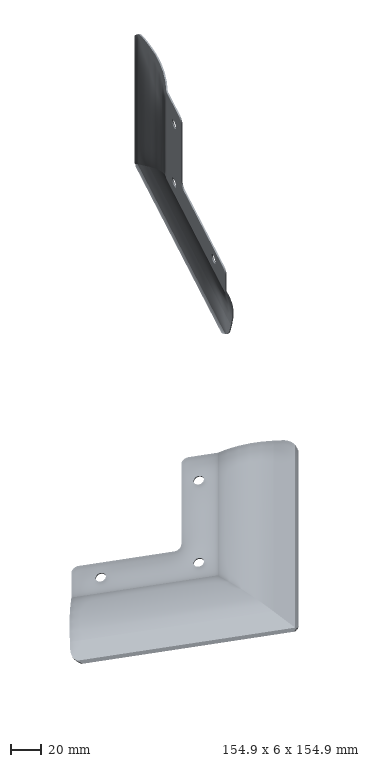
import cadquery as cq
import math

side = 155.0
depth = 6.0
sheet = 1.0
leg_width = 80.0

lip_start = 2.3
lip_angle = math.radians(44)
flat_end = 16.3
flange_start = 54.9
flange_bend_radius = 1.5
crown_radius = 72.5

end_radius = 10.0
flange_radius = 5.0
outer_radius = 4.6

hole_diameter = 7.0
hole_near = 68.0
hole_far = 135.0

crown_center_y = depth - crown_radius
crown_position = flange_start - math.sqrt((crown_radius - sheet) ** 2 - crown_center_y**2)

section_width = leg_width + flange_radius


def crown_point(radius, angle):
    """Point on a crown arc, with the angle taken from the crest toward the flange."""
    return (
        crown_position + radius * math.sin(angle),
        crown_center_y + radius * math.cos(angle),
    )


def section():
    """Closed sheet section: lip, sloping flat, arched crown and flange."""
    back_radius = crown_radius
    front_radius = crown_radius - sheet
    flat_angle = math.asin((flat_end - crown_position) / front_radius)
    slope = -math.tan(flat_angle)

    front_flat = crown_point(front_radius, flat_angle)
    back_flat = crown_point(back_radius, flat_angle)
    front_end_angle = math.acos(-crown_center_y / front_radius)
    back_end_angle = math.acos((sheet - crown_center_y) / back_radius)
    front_crest = crown_point(front_radius, 0)
    back_crest = crown_point(back_radius, 0)

    lip_front_y = front_flat[1] - slope * (flat_end - lip_start)
    lip_tip = lip_start - lip_front_y / math.tan(lip_angle)
    lip_back = (lip_tip - sheet * math.sin(lip_angle), sheet * math.cos(lip_angle))
    lip_rise = back_flat[1] - lip_back[1] - slope * (back_flat[0] - lip_back[0])
    lip_run = lip_rise / (math.tan(lip_angle) - slope)
    bend_back = (lip_back[0] + lip_run, lip_back[1] + lip_run * math.tan(lip_angle))

    return (
        cq.Workplane("XY")
        .moveTo(lip_tip, 0)
        .lineTo(lip_start, lip_front_y)
        .lineTo(*front_flat)
        .threePointArc(front_crest, crown_point(front_radius, front_end_angle))
        .lineTo(section_width, 0)
        .lineTo(section_width, sheet)
        .lineTo(*crown_point(back_radius, back_end_angle))
        .threePointArc(back_crest, back_flat)
        .lineTo(*bend_back)
        .lineTo(*lip_back)
        .close()
    )


def prism(points):
    """Prism through the full depth, from (X, Z) outline points."""
    return cq.Workplane("XZ").polyline(points).close().extrude(-depth)


def legs():
    """Two identical legs mitred together along the X = Z diagonal."""
    upright = section().extrude(side)
    flange_bend = cq.selectors.NearestToPointSelector((flange_start, 0, side / 2))
    upright = upright.edges("|Z").edges(flange_bend).fillet(flange_bend_radius)
    upright = upright.intersect(prism([(0, 0), (side, side), (0, side)]))
    level = upright.rotate((0, 0, 0), (0, 1, 0), 90).mirror("XY")
    return upright.union(level)


def outline():
    """L-shaped envelope with rounded corners."""
    blank = prism([
        (0, 0), (side, 0), (side, leg_width),
        (leg_width, leg_width), (leg_width, side), (0, side),
    ])

    def round_corners(body, corners, radius):
        for x, z in corners:
            corner = cq.selectors.NearestToPointSelector((x, depth / 2, z))
            body = body.edges("|Y").edges(corner).fillet(radius)
        return body

    blank = round_corners(blank, [(0, 0)], outer_radius)
    blank = round_corners(blank, [(0, side), (side, 0)], end_radius)
    flange_corners = [(leg_width, side), (leg_width, leg_width), (side, leg_width)]
    return round_corners(blank, flange_corners, flange_radius)


def holes():
    """Through holes at the corner and near the end of each leg."""
    centers = [(hole_near, hole_near), (hole_far, hole_near), (hole_near, hole_far)]
    return cq.Workplane("XZ").pushPoints(centers).circle(hole_diameter / 2).extrude(-depth)


result = legs().intersect(outline()).cut(holes())